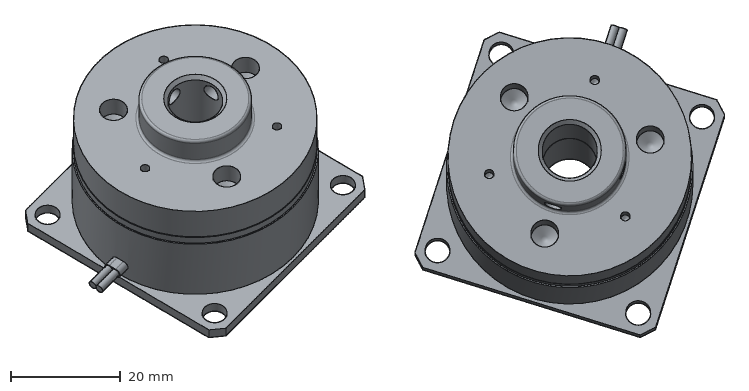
import cadquery as cq
import math

plate_size = 46.0
total_height = 31.0
total_depth = 52.7
wire_end_reach = total_depth - plate_size / 2

plate_thickness = 2.2
plate_corner_chamfer = 2.2
mounting_hole_offset = 19.2
mounting_hole_radius = 2.25
housing_radius = 22.45
housing_top = 16.4
rim_radius = 22.2
rim_top = 17.95

air_gap = 0.2
disc_bottom = rim_top + air_gap
disc_radius = rim_radius
disc_top = 25.4
hub_radius = 10.3
hub_edge_radius = 0.55
bore_radius = 5.0
bore_chamfer = 0.75

hole_circle_radius = 15.0
large_hole_radius = 2.55
large_hole_depth = 4.2
large_hole_start_angle = 90
small_hole_radius = 0.85
small_hole_depth = 2.65
small_hole_start_angle = 30
holes_per_size = 3
drill_point_angle = 118

set_screw_radius = 1.65
set_screw_height = 27.9
set_screw_angles = (90, 180)

sleeve_width = 3.55
sleeve_thickness = 2.05
sleeve_height = 5.5
sleeve_end_reach = 24.75
wire_radius = 0.8
wire_spacing = 1.55
wire_height = 5.6
cable_start_reach = 21.1


def cylinder(radius, bottom, top):
    return cq.Workplane("XY").workplane(offset=bottom).circle(radius).extrude(top - bottom)


def make_plate():
    plate = (
        cq.Workplane("XY")
        .rect(plate_size, plate_size)
        .extrude(plate_thickness)
        .edges("|Z")
        .chamfer(plate_corner_chamfer)
    )
    hole_pitch = 2 * mounting_hole_offset
    return (
        plate.faces(">Z")
        .workplane()
        .rect(hole_pitch, hole_pitch, forConstruction=True)
        .vertices()
        .hole(2 * mounting_hole_radius)
    )


def cable_plane():
    """Plane facing -Y, with its local axes along X and Z."""
    return cq.Workplane("XZ", origin=(0, -cable_start_reach, 0))


def make_cable():
    cable = (
        cable_plane()
        .center(0, sleeve_height)
        .slot2D(sleeve_width, sleeve_thickness)
        .extrude(sleeve_end_reach - cable_start_reach)
    )
    for side in (-1, 1):
        wire = (
            cable_plane()
            .center(side * wire_spacing / 2, wire_height)
            .circle(wire_radius)
            .extrude(wire_end_reach - cable_start_reach)
        )
        cable = cable.union(wire)
    return cable


def make_stator():
    housing = cylinder(housing_radius, 0, housing_top)
    rim = cylinder(rim_radius, housing_top, rim_top)
    body = make_plate().union(housing).union(rim)
    body = body.cut(cylinder(bore_radius, 0, rim_top))
    return body.union(make_cable())


def make_rotor_blank():
    """Disc and hub turned about Z, with the hub's foot fillet, rounded top and chamfered bore."""
    arc_shift = hub_edge_radius * (1 - math.sqrt(0.5))
    foot_radius = hub_radius + hub_edge_radius
    foot_top = disc_top + hub_edge_radius
    return (
        cq.Workplane("XZ")
        .moveTo(bore_radius, disc_bottom)
        .lineTo(disc_radius, disc_bottom)
        .lineTo(disc_radius, disc_top)
        .lineTo(foot_radius, disc_top)
        .threePointArc((hub_radius + arc_shift, disc_top + arc_shift), (hub_radius, foot_top))
        .lineTo(hub_radius, total_height - hub_edge_radius)
        .threePointArc(
            (hub_radius - arc_shift, total_height - arc_shift),
            (hub_radius - hub_edge_radius, total_height),
        )
        .lineTo(bore_radius + bore_chamfer, total_height)
        .lineTo(bore_radius, total_height - bore_chamfer)
        .close()
        .revolve(360, (0, 0, 0), (0, 1, 0))
    )


def drill_disc_holes(body, radius, depth, start_angle):
    """Drill a ring of blind holes with conical bottoms; depth is to the start of the cone."""
    point_depth = radius / math.tan(math.radians(drill_point_angle / 2))
    drill = (
        cq.Workplane("XZ")
        .moveTo(0, disc_top)
        .lineTo(radius, disc_top)
        .lineTo(radius, disc_top - depth)
        .lineTo(0, disc_top - depth - point_depth)
        .close()
        .revolve(360, (0, 0, 0), (0, 1, 0))
        .translate((hole_circle_radius, 0, 0))
    )
    for index in range(holes_per_size):
        angle = start_angle + index * 360 / holes_per_size
        body = body.cut(drill.rotate((0, 0, 0), (0, 0, 1), angle))
    return body


def drill_set_screw_holes(body):
    """Radial holes from the hub's outside into the bore, through one wall only."""
    drill = (
        cq.Workplane("YZ")
        .center(0, set_screw_height)
        .circle(set_screw_radius)
        .extrude(hub_radius + hub_edge_radius)
    )
    for angle in set_screw_angles:
        body = body.cut(drill.rotate((0, 0, 0), (0, 0, 1), angle))
    return body


def make_rotor():
    body = make_rotor_blank()
    body = drill_disc_holes(body, large_hole_radius, large_hole_depth, large_hole_start_angle)
    body = drill_disc_holes(body, small_hole_radius, small_hole_depth, small_hole_start_angle)
    return drill_set_screw_holes(body)


stator = make_stator()
rotor = make_rotor()

result = cq.Compound.makeCompound([stator.val(), rotor.val()])